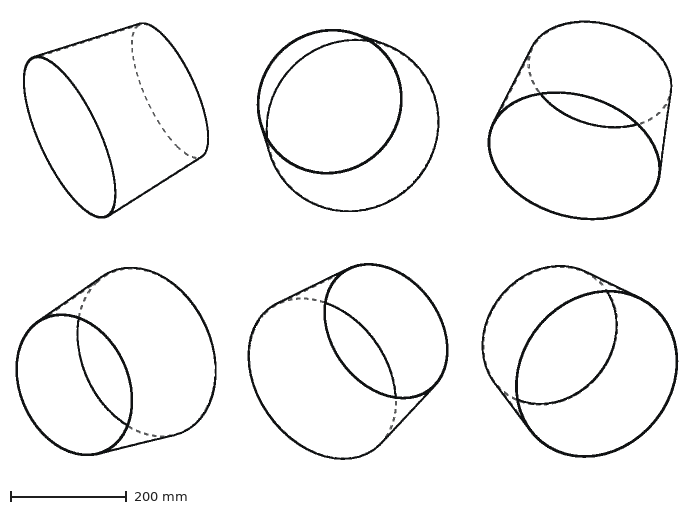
import cadquery as cq

large_diameter = 304.0
small_diameter = 254.0
wall = 2.0
length = 203.0

large_radius = large_diameter / 2
small_radius = small_diameter / 2


def reducer():
    """Revolve the sloping wall section about the Y axis."""
    section = (
        cq.Workplane("XY")
        .moveTo(large_radius - wall, 0)
        .lineTo(large_radius, 0)
        .lineTo(small_radius, length)
        .lineTo(small_radius - wall, length)
        .close()
    )
    return section.revolve(360, (0, 0, 0), (0, 1, 0))


result = reducer()